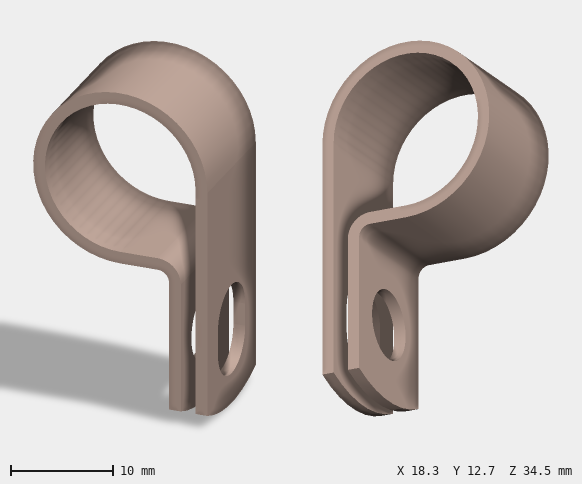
import cadquery as cq
import math

height = 34.48
outer_diameter = 18.3
width = 12.7
thickness = 1.25
leg_gap = 1.55
bend_inner_radius = 1.17
hole_diameter = 7.15
slot_length = 9.5
hole_height = 7.95
tip_rise = 1.35

outer_radius = outer_diameter / 2
inner_radius = outer_radius - thickness
bottom = outer_radius - height
short_leg_outer = inner_radius - leg_gap
short_leg_inner = short_leg_outer - thickness
bend_outer_radius = bend_inner_radius + thickness
bend_x = short_leg_inner - bend_inner_radius
bend_z = -outer_radius - bend_inner_radius
diagonal = math.sqrt(0.5)


def make_strip():
    """Ring open at its lower right, ending in two parallel legs."""
    profile = (
        cq.Workplane("XZ")
        .moveTo(outer_radius, bottom)
        .lineTo(outer_radius, 0)
        .threePointArc((-outer_radius * diagonal, outer_radius * diagonal), (0, -outer_radius))
        .lineTo(bend_x, -outer_radius)
        .threePointArc(
            (bend_x + bend_inner_radius * diagonal, bend_z + bend_inner_radius * diagonal),
            (short_leg_inner, bend_z),
        )
        .lineTo(short_leg_inner, bottom)
        .lineTo(short_leg_outer, bottom)
        .lineTo(short_leg_outer, bend_z)
        .threePointArc(
            (bend_x + bend_outer_radius * diagonal, bend_z + bend_outer_radius * diagonal),
            (bend_x, -inner_radius),
        )
        .lineTo(0, -inner_radius)
        .threePointArc((-inner_radius * diagonal, inner_radius * diagonal), (inner_radius, 0))
        .lineTo(inner_radius, bottom)
        .close()
    )
    return profile.extrude(width / 2, both=True)


def make_envelope():
    """Block around the strip whose underside is the rounded leg tip."""
    return (
        cq.Workplane("YZ", origin=(-outer_radius, 0, 0))
        .moveTo(-width / 2, outer_radius)
        .lineTo(-width / 2, bottom + tip_rise)
        .threePointArc((0, bottom), (width / 2, bottom + tip_rise))
        .lineTo(width / 2, outer_radius)
        .close()
        .extrude(outer_diameter)
    )


def leg_workplane(left_face_x):
    """Sketch plane on a leg's left face, centred on the screw axis."""
    return cq.Workplane("YZ", origin=(left_face_x, 0, bottom + hole_height))


def make_screw_hole():
    """Round hole through the short leg."""
    return leg_workplane(short_leg_inner).circle(hole_diameter / 2).extrude(thickness)


def make_screw_slot():
    """Upright round-ended slot through the long leg."""
    return leg_workplane(inner_radius).slot2D(slot_length, hole_diameter, 90).extrude(thickness)


result = (
    make_strip()
    .intersect(make_envelope())
    .cut(make_screw_hole())
    .cut(make_screw_slot())
)